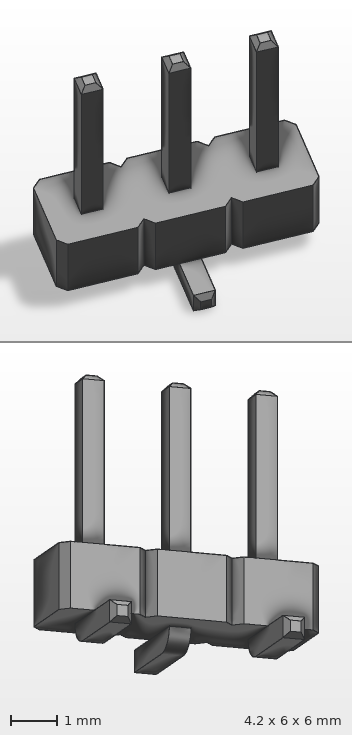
import cadquery as cq
import math

pin_count = 3
header_length = 6.0
overall_width = 4.2
overall_height = 6.0
housing_height = 1.5

pitch = header_length / pin_count
housing_width = pitch
pin_width = pitch / 4
tip_taper = pin_width / 4
corner_cut = pitch / 10
housing_bottom = pin_width
foot_reach = overall_width / 2

pin_positions = [(i - (pin_count - 1) / 2) * pitch for i in range(pin_count)]


def make_housing():
    """Row of chamfered square blocks joined end to end, with a square hole per pin."""
    housing = cq.Workplane("XY").workplane(offset=housing_bottom)
    half = housing_width / 2
    flat = pitch / 2 - corner_cut
    right_side = []
    for y in pin_positions:
        right_side += [
            (half - corner_cut, y - pitch / 2),
            (half, y - flat),
            (half, y + flat),
        ]
    right_side.append((half - corner_cut, header_length / 2))
    left_side = [(-x, y) for x, y in reversed(right_side)]
    housing = housing.polyline(right_side + left_side).close().extrude(housing_height)

    holes = (
        cq.Workplane("XY")
        .workplane(offset=housing_bottom)
        .pushPoints([(0, y) for y in pin_positions])
        .rect(pin_width, pin_width)
        .extrude(housing_height)
    )
    return housing.cut(holes)


def make_pin(y, turned):
    """Square L-shaped pin with its foot along -X, or along +X when turned."""
    half = pin_width / 2
    bend_middle = (
        -half + pin_width * math.cos(math.radians(45)),
        pin_width - pin_width * math.sin(math.radians(45)),
    )
    pin = (
        cq.Workplane("XZ")
        .moveTo(-foot_reach, 0)
        .lineTo(-half, 0)
        .threePointArc(bend_middle, (half, pin_width))
        .lineTo(half, overall_height)
        .lineTo(-half, overall_height)
        .lineTo(-half, pin_width)
        .lineTo(-foot_reach, pin_width)
        .close()
        .extrude(half, both=True)
    )
    pin = pin.faces(">Z").chamfer(tip_taper)
    pin = pin.faces("<X").chamfer(tip_taper)
    if turned:
        pin = pin.rotate((0, 0, 0), (0, 0, 1), 180)
    return pin.translate((0, y, 0))


housing = make_housing()

pins = [make_pin(y, turned=i % 2 == 1) for i, y in enumerate(pin_positions)]

result = cq.Compound.makeCompound([housing.val(), *[pin.val() for pin in pins]])